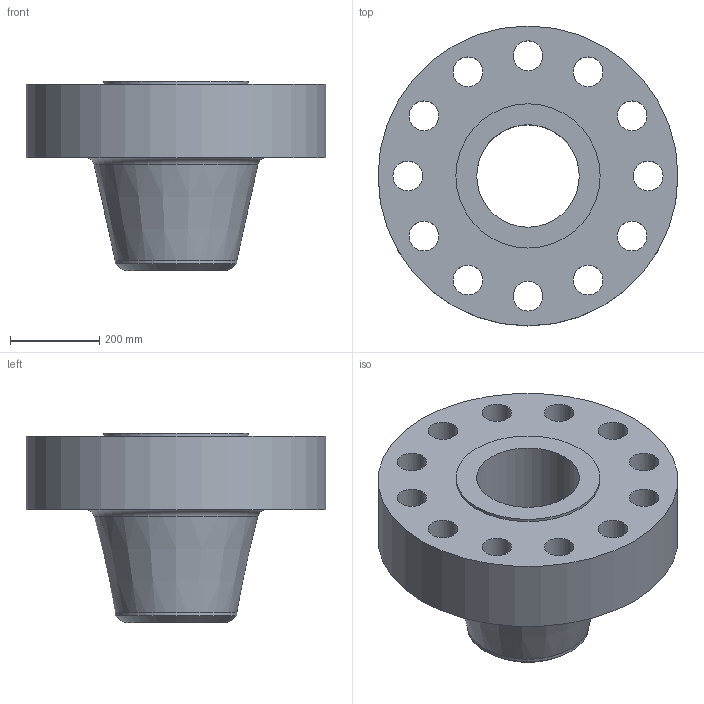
import cadquery as cq

flange_diameter = 673.1
flange_thickness = 165.1
raised_face_diameter = 323.85
raised_face_height = 6.35
overall_height = 425.45

bore_diameter = 230.2

bolt_count = 12
bolt_circle_diameter = 539.75
bolt_hole_diameter = 66.7

hub_diameter = 374.65
hub_fillet_radius = 20.0
pipe_diameter = 273.05
weld_land_length = 7.0
weld_bevel_height = 16.0
weld_root_face = 1.6

flange_top = overall_height - raised_face_height
flange_bottom = flange_top - flange_thickness
taper_bottom = weld_bevel_height + weld_land_length

flange_radius = flange_diameter / 2
raised_face_radius = raised_face_diameter / 2
bore_radius = bore_diameter / 2
hub_radius = hub_diameter / 2
pipe_radius = pipe_diameter / 2
weld_end_radius = bore_radius + weld_root_face


def flange_body():
    """Bored flange, raised face, tapered hub and weld end, with the hub root rounded."""
    profile = (
        cq.Workplane("XZ")
        .moveTo(bore_radius, 0)
        .lineTo(weld_end_radius, 0)
        .lineTo(pipe_radius, weld_bevel_height)
        .lineTo(pipe_radius, taper_bottom)
        .lineTo(hub_radius, flange_bottom)
        .lineTo(flange_radius, flange_bottom)
        .lineTo(flange_radius, flange_top)
        .lineTo(raised_face_radius, flange_top)
        .lineTo(raised_face_radius, overall_height)
        .lineTo(bore_radius, overall_height)
        .close()
    )
    body = profile.revolve(360, (0, 0, 0), (0, 1, 0))
    hub_root = cq.selectors.RadiusNthSelector(-2)
    return body.edges(hub_root).fillet(hub_fillet_radius)


def bolt_holes():
    """Ring of bolt hole cutters, the first one on the +X axis."""
    return (
        cq.Workplane("XY", origin=(0, 0, flange_bottom))
        .polarArray(bolt_circle_diameter / 2, 0, 360, bolt_count)
        .circle(bolt_hole_diameter / 2)
        .extrude(flange_thickness)
    )


result = flange_body().cut(bolt_holes())